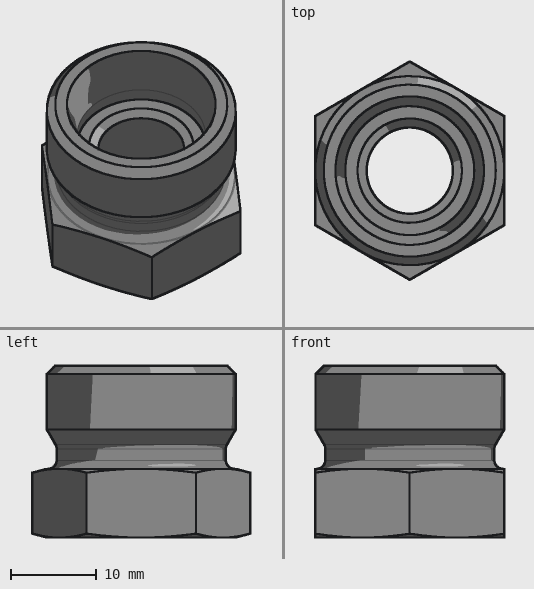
import cadquery as cq
import math

across_corners = 25.4
across_flats = across_corners * math.cos(math.radians(30))
height = 20.0
hex_height = 8.0
hex_chamfer_angle = 15.0

spigot_radius = across_flats / 2
spigot_bottom = 12.57
top_chamfer = 1.0

groove_radius = 19.7 / 2
groove_fillet = 1.0
groove_cone_angle = 30.0

bore_radius = 10.0 / 2
seat_radius = 12.15 / 2
socket_radius = 15.0 / 2
mouth_radius = 17.3 / 2
mouth_half_angle = 12.0
socket_depth = 7.0
seat_drop = 0.53


def make_hexagon():
    """Hexagon with corners on the Y axis and conical chamfers at both ends."""
    prism = (
        cq.Workplane("XY")
        .polygon(6, across_corners)
        .extrude(hex_height)
        .rotate((0, 0, 0), (0, 0, 1), 90)
    )
    flat_radius = across_flats / 2
    corner_radius = across_corners / 2
    corner_drop = (corner_radius - flat_radius) * math.tan(math.radians(hex_chamfer_angle))
    chamfer_envelope = (
        cq.Workplane("XZ")
        .moveTo(0, 0)
        .lineTo(flat_radius, 0)
        .lineTo(corner_radius, corner_drop)
        .lineTo(corner_radius, hex_height - corner_drop)
        .lineTo(flat_radius, hex_height)
        .lineTo(0, hex_height)
        .close()
        .revolve(360, (0, 0, 0), (0, 1, 0))
    )
    return prism.intersect(chamfer_envelope)


def make_spigot():
    """Chamfered spigot above a groove with a rounded foot and a rounded, conical top."""
    cone_angle = math.radians(groove_cone_angle)
    fillet_center_radius = groove_radius + groove_fillet
    fillet_foot_z = hex_height + groove_fillet
    foot_middle = groove_fillet * math.sqrt(0.5)

    cone_start_radius = fillet_center_radius - groove_fillet * math.cos(cone_angle)
    cone_start_z = spigot_bottom - (spigot_radius - cone_start_radius) / math.tan(cone_angle)
    upper_arc_z = cone_start_z - groove_fillet * math.sin(cone_angle)
    upper_middle = (
        fillet_center_radius - groove_fillet * math.cos(cone_angle / 2),
        upper_arc_z + groove_fillet * math.sin(cone_angle / 2),
    )
    return (
        cq.Workplane("XZ")
        .moveTo(0, hex_height)
        .lineTo(fillet_center_radius, hex_height)
        .threePointArc(
            (fillet_center_radius - foot_middle, fillet_foot_z - foot_middle),
            (groove_radius, fillet_foot_z),
        )
        .lineTo(groove_radius, upper_arc_z)
        .threePointArc(upper_middle, (cone_start_radius, cone_start_z))
        .lineTo(spigot_radius, spigot_bottom)
        .lineTo(spigot_radius, height - top_chamfer)
        .lineTo(spigot_radius - top_chamfer, height)
        .lineTo(0, height)
        .close()
        .revolve(360, (0, 0, 0), (0, 1, 0))
    )


def make_bore():
    """Through bore with a countersunk edge, a flat-bottomed socket and a tapered mouth."""
    mouth_depth = (mouth_radius - socket_radius) / math.tan(math.radians(mouth_half_angle))
    socket_floor = height - socket_depth
    return (
        cq.Workplane("XZ")
        .moveTo(0, 0)
        .lineTo(bore_radius, 0)
        .lineTo(bore_radius, socket_floor - seat_drop)
        .lineTo(seat_radius, socket_floor)
        .lineTo(socket_radius, socket_floor)
        .lineTo(socket_radius, height - mouth_depth)
        .lineTo(mouth_radius, height)
        .lineTo(0, height)
        .close()
        .revolve(360, (0, 0, 0), (0, 1, 0))
    )


result = make_hexagon().union(make_spigot()).cut(make_bore())